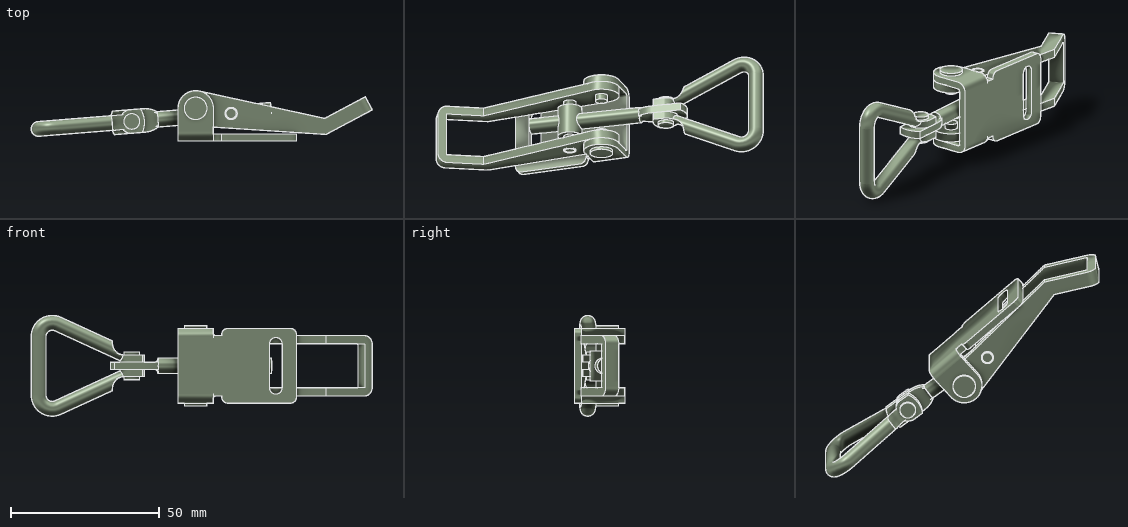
import cadquery as cq
import math


SHEET = 2.4
BRACKET_HALF_WIDTH = 12.6
BEND_RADIUS = 3.1
EAR_RADIUS = 6.0
PIVOT_Y = 11.0
BASE_END_X = 34.0
BASE_CORNER_RADIUS = 2.2
SLOT_X = 27.0
SLOT_WIDTH = 4.2
SLOT_LENGTH = 19.1
RELIEF_WIDTH = 2.8
RELIEF_FLOOR_RADIUS = 0.7

LEVER_HALF_WIDTH = BRACKET_HALF_WIDTH - SHEET
LEVER_THICKNESS = 2.9
LEVER_CORNER_RADIUS = 3.1
HEEL_X = 43.9
HEEL_Y = 2.2
GRIP_ANGLE = 28
GRIP_LENGTH = 17.7
GRIP_UPPER_LENGTH = 15.5
GRIP_WIDTH = 5.0

RIVET_RADIUS = 2.1
RIVET_HEAD_RADIUS = 3.8
RIVET_HEAD_HEIGHT = 0.9
RIVET_INNER_Z = 5.4

TRUNNION_X = 11.9
TRUNNION_Y = 9.3
TRUNNION_RADIUS = 4.0
TRUNNION_HALF_WIDTH = 5.0
JOURNAL_RADIUS = 2.1
JOURNAL_CHAMFER = 0.3

DRAW_TILT = 4.6
TRUNNION_REACH = 33.5
BOLT_RADIUS = 2.6
BOLT_END = 47.1
EYE_THICKNESS = 2.5
EYE_HALF_HEIGHT = 4.0
EYE_TAIL = -6.2
END_BOW = 1.0
EYE_SHOULDER = 4.1
EYE_SHOULDER_RADIUS = 8.3
EYE_END = 8.8
EYE_ROOT_FILLET = 0.9

CLEVIS_PIN_RADIUS = 2.6
CLEVIS_PIN_HALF_LENGTH = 4.7

WIRE_RADIUS = 2.5
LOOP_BAR_X = -31.5
LOOP_HALF_WIDTH = 17.0
LOOP_BEND_RADIUS = 4.6
LEG_ANGLE = 24.6
CHEEK_OUTER_Z = 3.7
CHEEK_START = -0.7
CHEEK_END = 3.2
SCOOP_RADIUS = 3.9
SCOOP_X = -2.8


def cylinder(radius, z_start, z_end, x=0.0, y=0.0):
    """Cylinder parallel to Z."""
    return cq.Workplane("XY", origin=(x, y, z_start)).circle(radius).extrude(z_end - z_start)


def through_hole(radius, x, y):
    return cylinder(radius, -LOOP_HALF_WIDTH, LOOP_HALF_WIDTH, x, y)


def ear_outline():
    """Solid block with the side outline of the two ears."""
    return (
        cq.Workplane("XY")
        .moveTo(-EAR_RADIUS, 0)
        .lineTo(EAR_RADIUS, 0)
        .lineTo(EAR_RADIUS, PIVOT_Y)
        .threePointArc((0, PIVOT_Y + EAR_RADIUS), (-EAR_RADIUS, PIVOT_Y))
        .close()
        .extrude(BRACKET_HALF_WIDTH, both=True)
    )


def make_bracket():
    height = PIVOT_Y + EAR_RADIUS
    inner_half_width = BRACKET_HALF_WIDTH - SHEET

    channel = ear_outline().edges("|X and <Y").fillet(BEND_RADIUS)
    inside = (
        cq.Workplane("XY")
        .box(2 * EAR_RADIUS, height, 2 * inner_half_width)
        .edges("|X and <Y")
        .fillet(BEND_RADIUS - SHEET)
        .translate((0, SHEET + height / 2, 0))
    )
    ears = channel.cut(inside).cut(through_hole(RIVET_RADIUS, 0, PIVOT_Y))

    plate_length = BASE_END_X - EAR_RADIUS
    plate = (
        cq.Workplane("XY")
        .box(plate_length, SHEET, 2 * BRACKET_HALF_WIDTH)
        .translate((EAR_RADIUS + plate_length / 2, SHEET / 2, 0))
    )
    notch = (
        cq.Workplane("XY")
        .box(RELIEF_WIDTH, SHEET, 2 * SHEET)
        .edges("|Y and <X")
        .fillet(RELIEF_FLOOR_RADIUS)
        .translate((EAR_RADIUS + RELIEF_WIDTH / 2, SHEET / 2, 0))
    )
    for side in (-1, 1):
        plate = plate.cut(notch.translate((0, 0, side * BRACKET_HALF_WIDTH)))
    plate = plate.edges("|Y and (<Z or >Z)").fillet(BASE_CORNER_RADIUS)

    slot = (
        cq.Workplane("XZ", origin=(SLOT_X, 0, 0))
        .slot2D(SLOT_LENGTH, SLOT_WIDTH, 90)
        .extrude(-SHEET)
    )
    return ears.union(plate).cut(slot)


def tangent_point(x, y, side):
    """Point where a line from (x, y) touches the round lever end; side is +1 above, -1 below."""
    dy = y - PIVOT_Y
    angle = math.atan2(dy, x) + side * math.acos(EAR_RADIUS / math.hypot(x, dy))
    return (EAR_RADIUS * math.cos(angle), PIVOT_Y + EAR_RADIUS * math.sin(angle))


def make_lever():
    along = (math.cos(math.radians(GRIP_ANGLE)), math.sin(math.radians(GRIP_ANGLE)))
    tip_low = (HEEL_X + GRIP_LENGTH * along[0], HEEL_Y + GRIP_LENGTH * along[1])
    tip_high = (tip_low[0] - GRIP_WIDTH * along[1], tip_low[1] + GRIP_WIDTH * along[0])
    bend_high = (tip_high[0] - GRIP_UPPER_LENGTH * along[0], tip_high[1] - GRIP_UPPER_LENGTH * along[1])

    body = (
        cq.Workplane("XY")
        .moveTo(*tangent_point(HEEL_X, HEEL_Y, -1))
        .lineTo(HEEL_X, HEEL_Y)
        .lineTo(*tip_low)
        .lineTo(*tip_high)
        .lineTo(*bend_high)
        .lineTo(*tangent_point(*bend_high, 1))
        .threePointArc((-EAR_RADIUS, PIVOT_Y), tangent_point(HEEL_X, HEEL_Y, -1))
        .close()
        .extrude(LEVER_HALF_WIDTH, both=True)
    )
    tip_face = cq.selectors.DirectionMinMaxSelector(cq.Vector(*along, 0))
    body = body.faces(tip_face).edges("not |Z").fillet(LEVER_CORNER_RADIUS)

    reach = 2 * BASE_END_X + GRIP_LENGTH
    opening = (
        cq.Workplane("XY")
        .box(reach, reach, 2 * (LEVER_HALF_WIDTH - LEVER_THICKNESS))
        .edges("|Y and >X")
        .fillet(LEVER_CORNER_RADIUS - LEVER_THICKNESS)
        .translate((-LEVER_THICKNESS - reach / 2, 0, 0))
        .rotate((0, 0, 0), (0, 0, 1), GRIP_ANGLE)
        .translate((tip_low[0], tip_low[1], 0))
    )
    return (
        body.cut(opening)
        .cut(through_hole(RIVET_RADIUS, 0, PIVOT_Y))
        .cut(through_hole(JOURNAL_RADIUS, TRUNNION_X, TRUNNION_Y))
    )


def make_rivet(side):
    """Headed rivet joining one ear to one lever arm; side is +1 or -1 along Z."""
    shank = cylinder(RIVET_RADIUS, RIVET_INNER_Z, BRACKET_HALF_WIDTH, 0, PIVOT_Y)
    head_top = BRACKET_HALF_WIDTH + RIVET_HEAD_HEIGHT
    rivet = shank.union(cylinder(RIVET_HEAD_RADIUS, BRACKET_HALF_WIDTH, head_top, 0, PIVOT_Y))
    return rivet if side > 0 else rivet.mirror("XY")


def on_draw_axis(body):
    """Move a body from the draw axis (origin at the clevis pin) to its place in the latch."""
    tilt = math.radians(DRAW_TILT)
    pin_x = TRUNNION_X - TRUNNION_REACH * math.cos(tilt)
    pin_y = TRUNNION_Y - TRUNNION_REACH * math.sin(tilt)
    return body.rotate((0, 0, 0), (0, 0, 1), DRAW_TILT).translate((pin_x, pin_y, 0))


def bolt_rod(start=EYE_END):
    return cq.Workplane("YZ", origin=(start, 0, 0)).circle(BOLT_RADIUS).extrude(BOLT_END - start)


def eye_root_fillets():
    """Hollow fillets blending both flats of the eye into the end of the bolt."""
    size = EYE_ROOT_FILLET
    start = EYE_END - size
    height = EYE_THICKNESS + 2 * size
    web = cq.Workplane("XY").box(size, 2 * BOLT_RADIUS, height).translate((start + size / 2, 0, 0))
    for side in (-1, 1):
        hollow = (
            cq.Workplane("XZ", origin=(start, 0, side * height / 2))
            .circle(size)
            .extrude(BOLT_RADIUS, both=True)
        )
        web = web.cut(hollow)
    return web.intersect(bolt_rod(start))


def make_trunnion():
    barrel = cylinder(TRUNNION_RADIUS, -TRUNNION_HALF_WIDTH, TRUNNION_HALF_WIDTH, TRUNNION_REACH)
    journals = (
        cylinder(JOURNAL_RADIUS, -LEVER_HALF_WIDTH, LEVER_HALF_WIDTH, TRUNNION_REACH)
        .faces("<Z or >Z")
        .chamfer(JOURNAL_CHAMFER)
    )
    return on_draw_axis(barrel.union(journals).cut(bolt_rod()))


def make_draw_bolt():
    run = EYE_END - EYE_SHOULDER
    arc_y = EYE_HALF_HEIGHT - EYE_SHOULDER_RADIUS
    end_y = arc_y + math.sqrt(EYE_SHOULDER_RADIUS**2 - run**2)
    mid_y = arc_y + math.sqrt(EYE_SHOULDER_RADIUS**2 - (run / 2) ** 2)
    mid_x = EYE_SHOULDER + run / 2
    eye = (
        cq.Workplane("XY")
        .moveTo(EYE_TAIL, EYE_HALF_HEIGHT)
        .lineTo(EYE_SHOULDER, EYE_HALF_HEIGHT)
        .threePointArc((mid_x, mid_y), (EYE_END, end_y))
        .lineTo(EYE_END, -end_y)
        .threePointArc((mid_x, -mid_y), (EYE_SHOULDER, -EYE_HALF_HEIGHT))
        .lineTo(EYE_TAIL, -EYE_HALF_HEIGHT)
        .threePointArc((EYE_TAIL - END_BOW, 0), (EYE_TAIL, EYE_HALF_HEIGHT))
        .close()
        .extrude(EYE_THICKNESS / 2, both=True)
    )
    bolt = eye.union(bolt_rod()).union(eye_root_fillets())
    return on_draw_axis(bolt.cut(through_hole(CLEVIS_PIN_RADIUS, 0, 0)))


def make_clevis_pin():
    return on_draw_axis(cylinder(CLEVIS_PIN_RADIUS, -CLEVIS_PIN_HALF_LENGTH, CLEVIS_PIN_HALF_LENGTH))


def loop_wire():
    """Round wire from one leg end, round the cross bar, to the other leg end."""
    lean = math.radians(LEG_ANGLE)
    bend_x = LOOP_BAR_X + LOOP_BEND_RADIUS
    bend_z = LOOP_HALF_WIDTH - WIRE_RADIUS - LOOP_BEND_RADIUS
    leg_x = bend_x + LOOP_BEND_RADIUS * math.sin(lean)
    leg_z = bend_z + LOOP_BEND_RADIUS * math.cos(lean)
    leg_end_z = leg_z + leg_x * math.tan(lean)

    mid_turn = (math.pi / 2 + lean) / 2
    mid_x = bend_x - LOOP_BEND_RADIUS * math.cos(mid_turn)
    mid_z = bend_z + LOOP_BEND_RADIUS * math.sin(mid_turn)

    path = (
        cq.Workplane("XZ")
        .moveTo(0, leg_end_z)
        .lineTo(leg_x, leg_z)
        .threePointArc((mid_x, mid_z), (LOOP_BAR_X, bend_z))
        .lineTo(LOOP_BAR_X, -bend_z)
        .threePointArc((mid_x, -mid_z), (leg_x, -leg_z))
        .lineTo(0, -leg_end_z)
    )
    leg_direction = (-math.cos(lean), 0, math.sin(lean))
    section = cq.Plane(origin=(0, 0, leg_end_z), xDir=(0, 1, 0), normal=leg_direction)
    return cq.Workplane(section).circle(WIRE_RADIUS).sweep(path)


def make_loop():
    cheeks = (
        cq.Workplane("XY")
        .moveTo(CHEEK_START, EYE_HALF_HEIGHT)
        .lineTo(CHEEK_END, EYE_HALF_HEIGHT)
        .threePointArc((CHEEK_END + END_BOW, 0), (CHEEK_END, -EYE_HALF_HEIGHT))
        .lineTo(CHEEK_START, -EYE_HALF_HEIGHT)
        .threePointArc((-EYE_HALF_HEIGHT, 0), (CHEEK_START, EYE_HALF_HEIGHT))
        .close()
        .extrude(CHEEK_OUTER_Z, both=True)
    )
    loop = loop_wire()
    for side in (-1, 1):
        hollow = (
            cq.Workplane("XZ", origin=(SCOOP_X, 0, side * (CHEEK_OUTER_Z + SCOOP_RADIUS)))
            .circle(SCOOP_RADIUS)
            .extrude(EYE_HALF_HEIGHT, both=True)
        )
        flat = (
            cq.Workplane("XY")
            .box(2 * EYE_END, 2 * EYE_HALF_HEIGHT, 2 * SCOOP_RADIUS)
            .translate((SCOOP_X + EYE_END, 0, side * (CHEEK_OUTER_Z + SCOOP_RADIUS)))
        )
        loop = loop.cut(hollow).cut(flat)

    gap_length = EYE_END - EYE_TAIL + 2 * END_BOW
    gap = (
        cq.Workplane("XY")
        .box(gap_length, 4 * EYE_HALF_HEIGHT, EYE_THICKNESS)
        .translate((EYE_TAIL - 2 * END_BOW + gap_length / 2, 0, 0))
    )
    return on_draw_axis(loop.union(cheeks).cut(gap).cut(through_hole(CLEVIS_PIN_RADIUS, 0, 0)))


bracket = make_bracket()
lever = make_lever()
rivets = [make_rivet(side) for side in (-1, 1)]
trunnion = make_trunnion()
draw_bolt = make_draw_bolt()
clevis_pin = make_clevis_pin()
loop = make_loop()

bodies = [bracket, lever, *rivets, trunnion, draw_bolt, clevis_pin, loop]
result = cq.Compound.makeCompound([body.solids().val() for body in bodies])